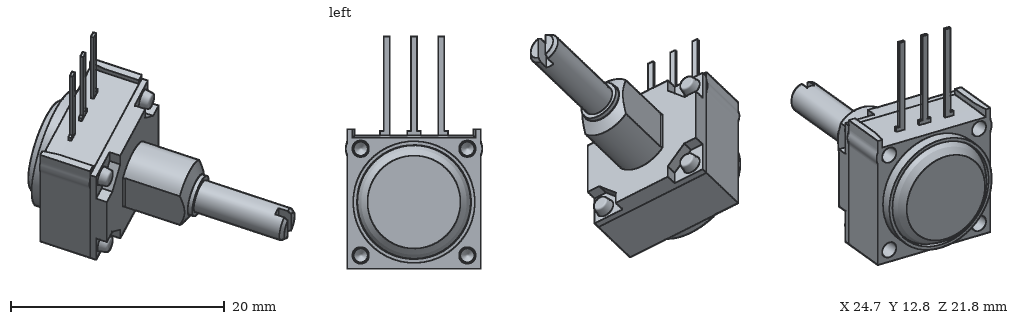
import cadquery as cq
import math


housing_rear = 2.03
housing_front = 7.1
boss_rear = 0.91
pad_floor = 7.7
plate_front = 8.8
bushing_end = 15.22
journal_end = 15.65
shaft_end = 24.7

body_size = 12.5
half_body = body_size / 2
wall_top = 6.82
boss_diameter = 11.39
recess_diameter = 10.7
wall_inner_y = 5.53
ramp_length = 1.55
ramp_drop = 0.25
ramp_flare = 0.22

stud_offset = 5.0
stud_base_diameter = 1.85
stud_tip_diameter = 1.5
stud_length = 0.91
stud_tip_round = 0.2
core_mouth_diameter = 1.55
core_end_diameter = 1.3
core_depth = 3.7
core_cone_depth = 0.65
bulge_radius = 1.4
bulge_fillet_half_height = 0.86

cap_face_diameter = 8.7
cap_shoulder_diameter = 9.85
cap_diameter = 10.6
cap_shoulder_x = 0.62
cap_rim_x = 1.35

pad_inner = 3.01
pad_corner_chamfer = 1.9
bushing_diameter = 6.4
bushing_end_diameter = 4.1
bushing_flat_width = 4.7
flat_ramp_length = 0.22
flat_ramp_rise = 0.1
bushing_chamfer_angle = 60

shaft_diameter = 3.15
journal_diameter = 4.0
tip_diameter = 2.6
tip_chamfer_length = 0.37
slot_width = 0.82
slot_depth = 1.28

overall_height = 21.75
terminal_top = overall_height - half_body
terminal_thickness = 0.3
terminal_spacing = 2.55
blade_width = 0.6
foot_overhang = 0.35
foot_height = 0.42

stud_positions = [(y, z) for y in (-stud_offset, stud_offset) for z in (-stud_offset, stud_offset)]


def cylinder(diameter, x_start, x_end, y=0, z=0):
    """Cylinder parallel to X between two stations."""
    return cq.Workplane("YZ", origin=(x_start, y, z)).circle(diameter / 2).extrude(x_end - x_start)


def block(x_range, y_range, z_range):
    """Box given by its lower and upper limit along each axis."""
    limits = (x_range, y_range, z_range)
    size = [high - low for low, high in limits]
    corner = [low for low, high in limits]
    return cq.Workplane("XY").box(*size, centered=False).translate(tuple(corner))


def turned(profile):
    """Solid of revolution about X from (x, radius) points, closed along the axis."""
    points = [(profile[0][0], 0), *profile, (profile[-1][0], 0)]
    return cq.Workplane("XY").polyline(points).close().revolve(360, (0, 0, 0), (1, 0, 0))


def side_bulge(side):
    """Rounded swelling beside the upper stud, blended into the side wall by concave arcs."""
    gap = half_body - stud_offset
    half_height = bulge_fillet_half_height
    blend_radius = (half_height**2 + gap**2 - bulge_radius**2) / (2 * (bulge_radius - gap))
    centre_angle = math.atan2(half_height, gap + blend_radius)

    def bulge_point(angle, sign):
        y = stud_offset + bulge_radius * math.cos(angle)
        return side * y, stud_offset + sign * bulge_radius * math.sin(angle)

    def blend_point(sign):
        angle = centre_angle / 2
        y = half_body + blend_radius * (1 - math.cos(angle))
        height = half_height - blend_radius * math.sin(angle)
        return side * y, stud_offset + sign * height

    wall = side * half_body
    return (
        cq.Workplane("YZ", origin=(housing_rear, 0, 0))
        .moveTo(side * stud_offset, stud_offset + half_height)
        .lineTo(wall, stud_offset + half_height)
        .threePointArc(blend_point(1), bulge_point(centre_angle, 1))
        .threePointArc(bulge_point(0, 1), bulge_point(centre_angle, -1))
        .threePointArc(blend_point(-1), (wall, stud_offset - half_height))
        .lineTo(side * stud_offset, stud_offset - half_height)
        .close()
        .extrude(housing_front - housing_rear)
    )


def top_channel():
    """Open channel along the housing top, flaring out toward the rear."""
    straight = block(
        (housing_rear, housing_front), (-wall_inner_y, wall_inner_y), (half_body, wall_top)
    )
    rear_half_width = wall_inner_y + ramp_flare
    flare = (
        cq.Workplane("XY", origin=(0, 0, half_body - ramp_drop))
        .polyline(
            [
                (housing_rear, -rear_half_width),
                (housing_rear + ramp_length, -wall_inner_y),
                (housing_rear + ramp_length, wall_inner_y),
                (housing_rear, rear_half_width),
            ]
        )
        .close()
        .extrude(wall_top - half_body + ramp_drop)
    )
    above_ramp = (
        cq.Workplane("XZ")
        .polyline(
            [
                (housing_rear, half_body - ramp_drop),
                (housing_rear + ramp_length, half_body),
                (housing_rear + ramp_length, wall_top),
                (housing_rear, wall_top),
            ]
        )
        .close()
        .extrude(half_body, both=True)
    )
    return straight.union(flare.intersect(above_ramp))


def stud():
    """Corner stud that passes through the front plate and tapers beyond it."""
    tip_x = pad_floor + stud_length
    base_radius = stud_base_diameter / 2
    tip_radius = stud_tip_diameter / 2
    profile = [
        (housing_front, base_radius),
        (pad_floor, base_radius),
        (tip_x, tip_radius),
    ]
    return turned(profile).faces(">X").edges().fillet(stud_tip_round)


def core_hole():
    """Slightly tapered hole with a conical bottom, open at the housing rear."""
    bottom = housing_rear + core_depth
    profile = [
        (housing_rear, core_mouth_diameter / 2),
        (bottom, core_end_diameter / 2),
        (bottom + core_cone_depth, 0),
    ]
    return (
        cq.Workplane("XY")
        .polyline([(housing_rear, 0), *profile])
        .close()
        .revolve(360, (0, 0, 0), (1, 0, 0))
    )


def make_housing():
    housing = block((housing_rear, housing_front), (-half_body, half_body), (-half_body, wall_top))
    housing = housing.union(side_bulge(1)).union(side_bulge(-1))
    housing = housing.cut(top_channel())
    housing = housing.union(cylinder(boss_diameter, boss_rear, housing_rear))
    housing = housing.cut(cylinder(recess_diameter, boss_rear, housing_rear))
    for y, z in stud_positions:
        housing = housing.union(stud().translate((0, y, z)))
        housing = housing.cut(core_hole().translate((0, y, z)))
    return housing


def make_cap():
    return turned(
        [
            (0, cap_face_diameter / 2),
            (cap_shoulder_x, cap_shoulder_diameter / 2),
            (cap_rim_x, cap_diameter / 2),
            (housing_rear, cap_diameter / 2),
        ]
    )


def corner_pad(y_side, z_side):
    """Stepped-back corner of the plate, cut across at its inner corner."""
    inner_end = pad_inner + pad_corner_chamfer
    outline = [
        (half_body, pad_inner),
        (half_body, half_body),
        (pad_inner, half_body),
        (pad_inner, inner_end),
        (inner_end, pad_inner),
    ]
    return (
        cq.Workplane("YZ", origin=(pad_floor, 0, 0))
        .polyline([(y_side * y, z_side * z) for y, z in outline])
        .close()
        .extrude(plate_front - pad_floor)
    )


def make_bushing():
    radius = bushing_diameter / 2
    end_radius = bushing_end_diameter / 2
    chamfer_length = (radius - end_radius) / math.tan(math.radians(bushing_chamfer_angle))
    barrel = turned(
        [
            (plate_front, radius),
            (bushing_end - chamfer_length, radius),
            (bushing_end, end_radius),
        ]
    )
    half_flat = bushing_flat_width / 2
    root = half_flat + flat_ramp_rise
    across_flats = (
        cq.Workplane("XY")
        .polyline(
            [
                (plate_front, -root),
                (plate_front + flat_ramp_length, -half_flat),
                (bushing_end, -half_flat),
                (bushing_end, half_flat),
                (plate_front + flat_ramp_length, half_flat),
                (plate_front, root),
            ]
        )
        .close()
        .extrude(radius, both=True)
    )
    plate = block((housing_front, plate_front), (-half_body, half_body), (-half_body, half_body))
    for y, z in stud_positions:
        plate = plate.cut(corner_pad(math.copysign(1, y), math.copysign(1, z)))
        plate = plate.cut(cylinder(stud_base_diameter, housing_front, pad_floor, y, z))
    bushing = plate.union(barrel.intersect(across_flats))
    return bushing.cut(cylinder(journal_diameter, housing_front, bushing_end))


def make_shaft():
    shaft = turned(
        [
            (housing_front, journal_diameter / 2),
            (journal_end, journal_diameter / 2),
            (journal_end, shaft_diameter / 2),
            (shaft_end - tip_chamfer_length, shaft_diameter / 2),
            (shaft_end, tip_diameter / 2),
        ]
    )
    half_slot = slot_width / 2
    slot = block(
        (shaft_end - slot_depth, shaft_end),
        (-half_slot, half_slot),
        (-shaft_diameter / 2, shaft_diameter / 2),
    )
    return shaft.cut(slot)


def make_terminal(y, overhang_low, overhang_high):
    """Straight blade with a foot that may overhang it toward -Y and toward +Y."""
    x_range = (housing_rear + ramp_length, housing_rear + ramp_length + terminal_thickness)
    blade_low = y - blade_width / 2
    blade_high = y + blade_width / 2
    blade = block(x_range, (blade_low, blade_high), (half_body, terminal_top))
    foot = block(
        x_range,
        (blade_low - overhang_low, blade_high + overhang_high),
        (half_body, half_body + foot_height),
    )
    return blade.union(foot)


housing = make_housing()
cap = make_cap()
bushing = make_bushing()
shaft = make_shaft()
terminals = []
for index in (-1, 0, 1):
    overhang_low = foot_overhang if index <= 0 else 0
    overhang_high = foot_overhang if index >= 0 else 0
    terminals.append(make_terminal(index * terminal_spacing, overhang_low, overhang_high).val())

result = cq.Compound.makeCompound([housing.val(), cap.val(), bushing.val(), shaft.val(), *terminals])